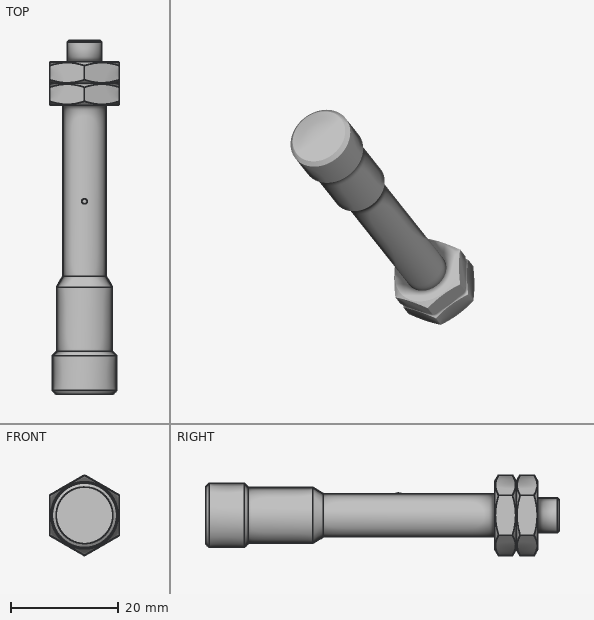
import cadquery as cq
import math

total_length = 66.0

head_radius = 6.0
collar_radius = 5.2
shaft_radius = 4.0
stud_radius = 3.25

head_chamfer = 0.7
stud_chamfer = 0.4
head_rear = 7.2
head_step_length = 0.8
collar_front = head_rear + head_step_length
collar_rear = 20.0
taper_length = 2.0
shaft_front = collar_rear + taper_length

nut_width = 13.0
nut_thickness = 4.0
nut_count = 2
nut_sides = 6
half_side_angle = 180 / nut_sides
nut_face_radius = 6.3
nut_chamfer_angle = 30.0
stud_length = 4.0
nuts_rear = total_length - stud_length
nuts_front = nuts_rear - nut_count * nut_thickness

dome_base_radius = 0.45
dome_height = 0.1
dome_y = 36.0


def revolve_about_y(points):
    """Revolve a closed outline of (radius, y) points about the Y axis."""
    return cq.Workplane("XY").polyline(points).close().revolve(360, (0, 0, 0), (0, 1, 0))


def make_body():
    return revolve_about_y([
        (0, 0),
        (head_radius - head_chamfer, 0),
        (head_radius, head_chamfer),
        (head_radius, head_rear),
        (collar_radius, collar_front),
        (collar_radius, collar_rear),
        (shaft_radius, shaft_front),
        (shaft_radius, nuts_rear),
        (stud_radius, nuts_rear),
        (stud_radius, total_length - stud_chamfer),
        (stud_radius - stud_chamfer, total_length),
        (0, total_length),
    ])


def make_nut(front):
    """Hexagon with its corners up and down, trimmed by a cone at both faces."""
    corner_radius = nut_width / 2 / math.cos(math.radians(half_side_angle))
    corner_drop = (corner_radius - nut_face_radius) * math.tan(math.radians(nut_chamfer_angle))
    rear = front + nut_thickness
    hexagon = (
        cq.Workplane("XZ", origin=(0, front, 0))
        .polygon(nut_sides, 2 * corner_radius)
        .extrude(-nut_thickness)
        .rotate((0, 0, 0), (0, 1, 0), half_side_angle)
    )
    envelope = revolve_about_y([
        (0, front),
        (nut_face_radius, front),
        (corner_radius, front + corner_drop),
        (corner_radius, rear - corner_drop),
        (nut_face_radius, rear),
        (0, rear),
    ])
    return hexagon.intersect(envelope)


result = make_body()
for index in range(nut_count):
    result = result.union(make_nut(nuts_front + index * nut_thickness))

dome_sphere_radius = (dome_base_radius**2 + dome_height**2) / (2 * dome_height)
dome_centre_z = shaft_radius + dome_height - dome_sphere_radius
dome = cq.Workplane("XY").sphere(dome_sphere_radius).translate((0, dome_y, dome_centre_z))
result = result.union(dome)